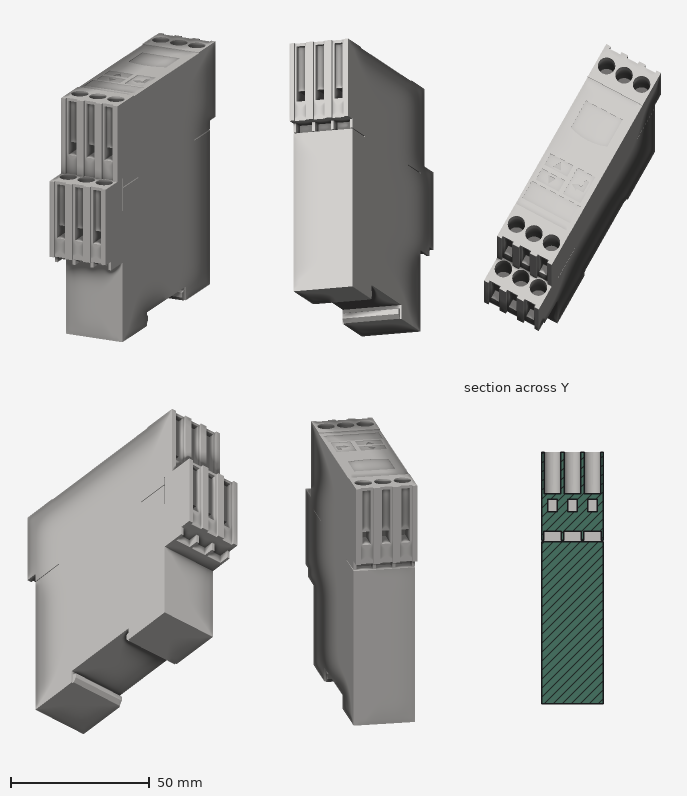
import cadquery as cq

width = 22.5
total_height = 91.0

housing_half_depth = 36.7
cover_top = 90.65

notch_half_width = 16.15
notch_height = 5.2
hook_reach = 1.8
hook_side_inset = 0.5
hook_foot_reach = 0.5
hook_top = 3.8
hook_nose_top = 3.4
hook_nose_bottom = 1.5

back_terminal_face = 41.2
front_terminal_face = 40.9
lower_shift_y = 9.8
head_depth = 13.95
head_height = 28.75
inner_step_drop = 12.4
foot_inner_depth = 17.8
foot_setback = 4.5
foot_drop = 32.05

pole_count = 3
pole_pitch = 7.2
screw_diameter = 6.3
screw_setback = 7.2
screw_depth = 15.0
groove_width = 4.5
groove_depth = 1.0
pocket_width = 3.2
pocket_depth = 3.1
pocket_top_drop = 1.1
wire_top_drop = 17.3
wire_bottom_drop = 21.6
wire_depth = 10.0
foot_slot_width = 6.15
foot_slot_depth = 4.0

gap = 0.35
gap_inner_y = 23.2

engrave_depth = 0.2
display_width = 15.0
display_top_y = 19.15
display_corner_y = 7.7
display_bottom_y = 6.3
key_top_y = -4.4
key_bottom_y = -15.5
arrow_key_left_x = -9.2
arrow_key_width = 9.4
arrow_key_height = 4.7
enter_key_left_x = 1.9
enter_key_width = 7.3
label_width = 20.45
label_top_y = -16.65
label_height = 7.25
triangle_base = 3.1
triangle_height = 2.8
enter_tip_x = 3.0
enter_tip_y = -10.7
enter_head_length = 2.4
enter_head_width = 2.8
enter_shaft_width = 1.5
enter_right_x = 8.15
enter_top_y = -6.95

pole_positions = [(i - (pole_count - 1) / 2) * pole_pitch for i in range(pole_count)]
arrow_key_x = arrow_key_left_x + arrow_key_width / 2
upper_key_y = key_top_y - arrow_key_height / 2
lower_key_y = key_bottom_y + arrow_key_height / 2
cover_front = head_depth - front_terminal_face
cover_back = back_terminal_face - head_depth


def box(x_range, y_range, z_range):
    """Axis-aligned box between the given limits."""
    sizes = [abs(b - a) for a, b in (x_range, y_range, z_range)]
    lows = [min(limits) for limits in (x_range, y_range, z_range)]
    return cq.Workplane("XY").box(*sizes, centered=False).translate(tuple(lows))


def centred(middle, size):
    """Limits of a span of the given size around its middle."""
    return (middle - size / 2, middle + size / 2)


def extrude_profile(points, length):
    """Prism of a closed (Y, Z) outline, centred on X = 0."""
    return cq.Workplane("YZ").polyline(points).close().extrude(length / 2, both=True)


def make_housing():
    full_width = centred(0, width)
    body = box(full_width, (-housing_half_depth, housing_half_depth), (0, total_height - head_height))
    neck = box(full_width, (cover_front, cover_back), (0, cover_top))
    notch = box(full_width, (-notch_half_width, notch_half_width), (0, notch_height))
    return body.union(neck).cut(notch)


def make_back_hook():
    wall = notch_half_width
    nose = wall - hook_reach
    profile = [
        (wall, 0),
        (wall - hook_foot_reach, 0),
        (nose, hook_nose_bottom),
        (nose, hook_nose_top),
        (wall - hook_foot_reach, hook_top),
        (wall, hook_top),
    ]
    return extrude_profile(profile, width - 2 * hook_side_inset)


def cut_pole(block, x):
    """Screw hole, wire groove, stepped wire entry and foot slot of one pole."""
    screw = (
        cq.Workplane("XY")
        .center(x, screw_setback)
        .circle(screw_diameter / 2)
        .extrude(-screw_depth)
    )
    groove = box(centred(x, groove_width), (0, groove_depth), (-head_height, 0))
    pocket = box(centred(x, pocket_width), (0, pocket_depth), (-wire_bottom_drop, -pocket_top_drop))
    wire_hole = box(centred(x, pocket_width), (0, wire_depth), (-wire_bottom_drop, -wire_top_drop))
    foot_slot = box(
        centred(x, foot_slot_width),
        (foot_setback, foot_setback + foot_slot_depth),
        (-foot_drop, -head_height),
    )
    return block.cut(screw).cut(groove).cut(pocket).cut(wire_hole).cut(foot_slot)


def make_terminal_solid():
    """Plain terminal block with its outer face at Y = 0 facing -Y and its top at Z = 0."""
    profile = [
        (0, 0),
        (head_depth, 0),
        (head_depth, -inner_step_drop),
        (foot_inner_depth, -inner_step_drop),
        (foot_inner_depth, -foot_drop),
        (foot_setback, -foot_drop),
        (foot_setback, -head_height),
        (0, -head_height),
    ]
    return extrude_profile(profile, width)


def make_terminal(block):
    """Terminal block with the openings of all its poles."""
    for x in pole_positions:
        block = cut_pole(block, x)
    return block


def make_gaps():
    """Thin slots under the upper terminals and behind the lower terminal."""
    full_width = centred(0, width)
    foot_bottom = total_height - foot_drop
    front_foot_y = -front_terminal_face + foot_setback
    lower_top = total_height - head_height
    under = (foot_bottom - gap, foot_bottom)
    back_gap = box(full_width, (gap_inner_y, housing_half_depth), under)
    front_gap = box(full_width, (front_foot_y, -gap_inner_y), under)
    upright_gap = box(full_width, (front_foot_y - gap, front_foot_y), (lower_top - inner_step_drop, lower_top))
    return [back_gap, front_gap, upright_gap]


def engraving(outline, level):
    """Cutter for a closed outline; each level lies one engraving step deeper."""
    return outline.extrude(-level * engrave_depth)


def panel_plane():
    return cq.Workplane("XY").workplane(offset=cover_top)


def rectangle(x, y, size_x, size_y):
    return panel_plane().center(x, y).rect(size_x, size_y)


def triangle(y, direction):
    """Arrow triangle centred on an arrow key; direction is +1 for up, -1 for down."""
    base_y = y - direction * triangle_height / 2
    tip_y = y + direction * triangle_height / 2
    half_base = triangle_base / 2
    points = [(arrow_key_x - half_base, base_y), (arrow_key_x + half_base, base_y), (arrow_key_x, tip_y)]
    return panel_plane().polyline(points).close()


def display_outline():
    half = display_width / 2
    return (
        panel_plane()
        .moveTo(-half, display_corner_y)
        .lineTo(-half, display_top_y)
        .lineTo(half, display_top_y)
        .lineTo(half, display_corner_y)
        .threePointArc((0, display_bottom_y), (-half, display_corner_y))
        .close()
    )


def enter_arrow():
    head_x = enter_tip_x + enter_head_length
    shaft_low = enter_tip_y - enter_shaft_width / 2
    shaft_high = enter_tip_y + enter_shaft_width / 2
    inner_x = enter_right_x - enter_shaft_width
    points = [
        (enter_tip_x, enter_tip_y),
        (head_x, enter_tip_y - enter_head_width / 2),
        (head_x, shaft_low),
        (enter_right_x, shaft_low),
        (enter_right_x, enter_top_y),
        (inner_x, enter_top_y),
        (inner_x, shaft_high),
        (head_x, shaft_high),
        (head_x, enter_tip_y + enter_head_width / 2),
    ]
    return panel_plane().polyline(points).close()


def make_panel_cutters():
    enter_key_x = enter_key_left_x + enter_key_width / 2
    enter_key_y = (key_top_y + key_bottom_y) / 2
    fields = [
        display_outline(),
        rectangle(arrow_key_x, upper_key_y, arrow_key_width, arrow_key_height),
        rectangle(arrow_key_x, lower_key_y, arrow_key_width, arrow_key_height),
        rectangle(enter_key_x, enter_key_y, enter_key_width, key_top_y - key_bottom_y),
        rectangle(0, label_top_y - label_height / 2, label_width, label_height),
    ]
    symbols = [triangle(upper_key_y, 1), triangle(lower_key_y, -1), enter_arrow()]
    return [engraving(field, 1) for field in fields] + [engraving(symbol, 2) for symbol in symbols]


def place_front(shape):
    return shape.translate((0, -front_terminal_face, total_height))


def place_back(shape):
    turned = shape.rotate((0, 0, 0), (0, 0, 1), 180)
    return turned.translate((0, back_terminal_face, total_height))


def place_lower(shape):
    return place_front(shape).translate((0, -lower_shift_y, -head_height))


back_hook = make_back_hook()
terminal_solid = make_terminal_solid()
terminal = make_terminal(terminal_solid)

result = make_housing().union(back_hook).union(back_hook.mirror("XZ"))
for place in (place_front, place_back, place_lower):
    result = result.cut(place(terminal_solid)).union(place(terminal))
for cutter in make_gaps() + make_panel_cutters():
    result = result.cut(cutter)